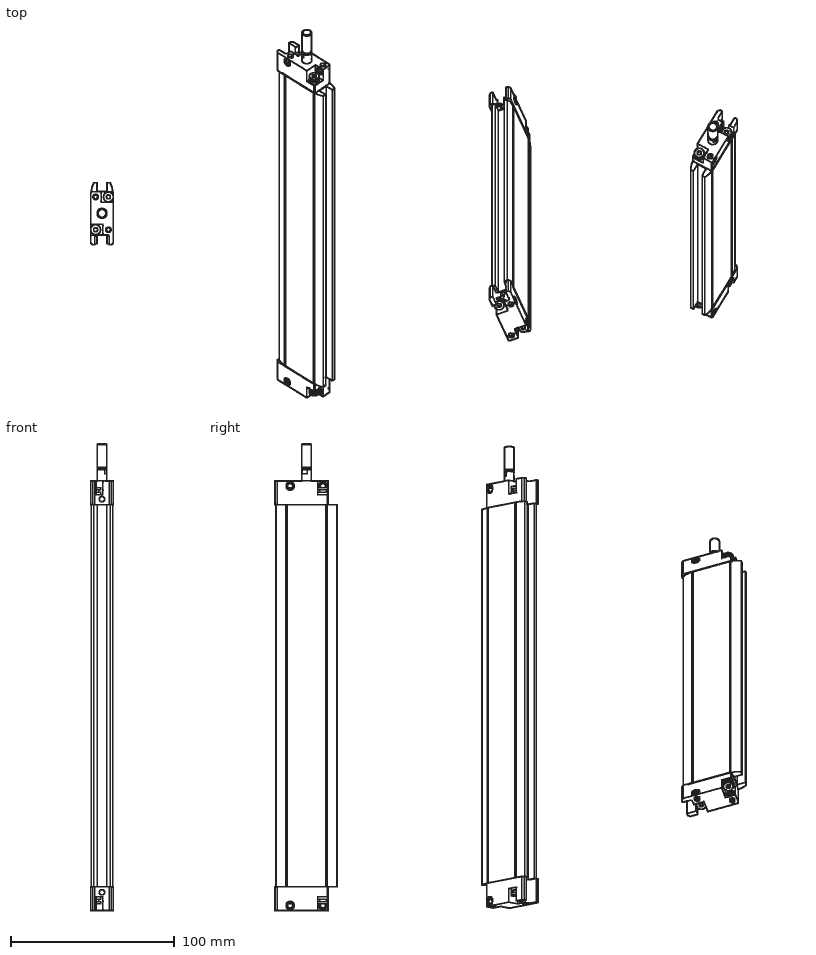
import cadquery as cq

total_length = 285.0
rod_reach = 22.5
cap_length = 14.5
tube_length = total_length - rod_reach - 2 * cap_length

tube_half_width = 6.6
tube_half_depth = 18.7
fin_tip_half_width = 5.0
fin_start = 13.0
fin_bulge = 0.35
channel_half_width = 3.0
channel_floor = 13.5
groove_width = 0.8
groove_depth = 0.3
groove_centre = fin_start - groove_width

cap_half_width = 7.0
cap_back = 13.15
cap_front = 19.3
cap_corner_chamfer = 0.5
leg_slot_half_width = 4.3
leg_slot_floor = 13.2
leg_slot_fillet = 1.0
leg_tip_chamfer_width = 1.2
leg_tip_chamfer_depth = 1.3

mount_x = 3.9
mount_y = 10.0
pocket_width = 6.5
pocket_depth = 8.5
pocket_overlap = 0.6
screw_collar_diameter = 6.0
screw_neck_diameter = 4.0
screw_step_height = 1.45
screw_socket_diameter = 2.46
screw_socket_depth = 1.45
end_hole_diameter = 3.24
end_hole_depth = 2.0
end_pilot_diameter = 2.46
end_pilot_depth = 8.0
cross_hole_height = 3.2
cross_hole_diameter = 3.24
cross_mouth_diameter = 5.0
cross_mouth_depth = 1.0
port_diameter = 3.24
port_depth = 5.0
port_height = 3.3

rod_diameter = 6.0
undercut_diameter = 5.0
rod_tip_diameter = 4.8
rod_tip_chamfer_length = 0.4
flat_start = 4.2
flat_length = 2.6
undercut_start = flat_start + flat_length
undercut_length = 1.5
across_flats = 5.0
flat_angle = -25.0


def make_tube():
    arc_mid_x = (tube_half_width + fin_tip_half_width) / 2 + fin_bulge
    arc_mid_y = (fin_start + tube_half_depth) / 2
    section = (
        cq.Workplane("XY", origin=(0, 0, cap_length))
        .moveTo(tube_half_width, -fin_start)
        .lineTo(tube_half_width, fin_start)
        .threePointArc((arc_mid_x, arc_mid_y), (fin_tip_half_width, tube_half_depth))
        .lineTo(-fin_tip_half_width, tube_half_depth)
        .threePointArc((-arc_mid_x, arc_mid_y), (-tube_half_width, fin_start))
        .lineTo(-tube_half_width, -fin_start)
        .threePointArc((-arc_mid_x, -arc_mid_y), (-fin_tip_half_width, -tube_half_depth))
        .lineTo(fin_tip_half_width, -tube_half_depth)
        .threePointArc((arc_mid_x, -arc_mid_y), (tube_half_width, -fin_start))
        .close()
        .extrude(tube_length)
    )
    middle = cap_length + tube_length / 2
    channel_depth = tube_half_depth - channel_floor
    channel_centre = channel_floor + channel_depth / 2
    for side in (-1, 1):
        channel = cq.Workplane("XY").box(2 * channel_half_width, channel_depth, tube_length)
        section = section.cut(channel.translate((0, side * channel_centre, middle)))
    grooves = (
        cq.Workplane("XY", origin=(0, 0, middle))
        .rect(2 * tube_half_width, 2 * groove_centre, forConstruction=True)
        .vertices()
        .box(2 * groove_depth, groove_width, tube_length)
    )
    return section.cut(grooves)


def make_cap_block():
    block = (
        cq.Workplane("XY")
        .moveTo(-cap_half_width, cap_back)
        .lineTo(-cap_half_width, -cap_front + leg_tip_chamfer_depth)
        .lineTo(-cap_half_width + leg_tip_chamfer_width, -cap_front)
        .lineTo(cap_half_width - leg_tip_chamfer_width, -cap_front)
        .lineTo(cap_half_width, -cap_front + leg_tip_chamfer_depth)
        .lineTo(cap_half_width, cap_back)
        .close()
        .extrude(cap_length)
    )
    block = block.edges("|Z and >Y").chamfer(cap_corner_chamfer)
    slot_depth = cap_front - leg_slot_floor
    slot = (
        cq.Workplane("XY")
        .box(2 * leg_slot_half_width, slot_depth, cap_length, centered=(True, False, False))
        .edges("|Z and >Y")
        .fillet(leg_slot_fillet)
        .translate((0, -cap_front, 0))
    )
    return block.cut(slot)


def make_pocket(side):
    """Open corner pocket at (side * mount_x, side * mount_y)."""
    length = cap_half_width + pocket_overlap
    centre_x = (cap_half_width - pocket_overlap) / 2
    return (
        cq.Workplane("XY")
        .box(length, pocket_width, pocket_depth, centered=(True, True, False))
        .translate((side * centre_x, side * mount_y, cap_length - pocket_depth))
    )


def make_screw_head(side):
    """Spool-shaped socket screw head standing on the pocket floor, part of the cap."""
    head = cq.Workplane("XY", origin=(side * mount_x, side * mount_y, cap_length - pocket_depth))
    for diameter in (screw_collar_diameter, screw_neck_diameter, screw_collar_diameter):
        head = head.circle(diameter / 2).extrude(screw_step_height).faces(">Z").workplane()
    return head.hole(screw_socket_diameter, screw_socket_depth)


def make_cross_hole(side):
    """Hole along X, widened at the outer face and at the pocket wall behind it."""
    plane = cq.Plane(
        origin=(-side * cap_half_width, side * mount_y, cap_length - cross_hole_height),
        xDir=(0, 1, 0),
        normal=(side, 0, 0),
    )
    hole = cq.Workplane(plane).circle(cross_hole_diameter / 2).extrude(2 * cap_half_width)
    wall_thickness = cap_half_width - pocket_overlap
    for start in (0, wall_thickness - cross_mouth_depth):
        mouth = (
            cq.Workplane(plane)
            .workplane(offset=start)
            .circle(cross_mouth_diameter / 2)
            .extrude(cross_mouth_depth)
        )
        hole = hole.union(mouth)
    return hole


def make_end_hole(side):
    """Stepped blind hole along Z in the corner that has no pocket."""
    top = cq.Workplane("XY", origin=(-side * mount_x, side * mount_y, cap_length))
    mouth = top.circle(end_hole_diameter / 2).extrude(-end_hole_depth)
    pilot = top.circle(end_pilot_diameter / 2).extrude(-end_pilot_depth)
    return mouth.union(pilot)


def make_port():
    """Air port in the floor of the leg slot."""
    return (
        cq.Workplane("XZ", origin=(0, -leg_slot_floor, port_height))
        .circle(port_diameter / 2)
        .extrude(-port_depth)
    )


def make_cap():
    cap = make_cap_block().cut(make_port())
    for side in (-1, 1):
        cap = cap.cut(make_pocket(side))
        cap = cap.cut(make_cross_hole(side))
        cap = cap.cut(make_end_hole(side))
        cap = cap.union(make_screw_head(side))
    return cap


def make_rod():
    radius = rod_diameter / 2
    undercut_middle = undercut_start + undercut_length / 2
    rod = (
        cq.Workplane("XZ")
        .moveTo(0, -cap_length)
        .lineTo(radius, -cap_length)
        .lineTo(radius, undercut_start)
        .lineTo(undercut_diameter / 2, undercut_middle)
        .lineTo(radius, undercut_start + undercut_length)
        .lineTo(radius, rod_reach - rod_tip_chamfer_length)
        .lineTo(rod_tip_diameter / 2, rod_reach)
        .lineTo(0, rod_reach)
        .close()
        .revolve(360, (0, 0, 0), (0, 1, 0))
    )
    for side in (-1, 1):
        flat = (
            cq.Workplane("XY")
            .box(rod_diameter, rod_diameter, flat_length, centered=(True, True, False))
            .translate((side * (across_flats + rod_diameter) / 2, 0, flat_start))
            .rotate((0, 0, 0), (0, 0, 1), flat_angle)
        )
        rod = rod.cut(flat)
    return rod


cap = make_cap()
rod_bore = cq.Workplane("XY").circle(rod_diameter / 2).extrude(cap_length)

tube = make_tube()
rear_cap = cap.mirror("XY").translate((0, 0, cap_length))
front_cap = cap.cut(rod_bore).translate((0, 0, cap_length + tube_length))
rod = make_rod().translate((0, 0, total_length - rod_reach))

result = cq.Compound.makeCompound([tube.val(), rear_cap.val(), front_cap.val(), rod.val()])